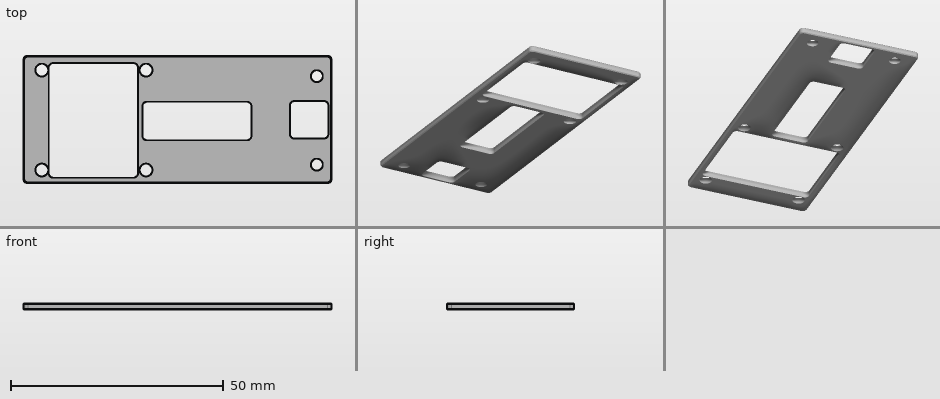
import cadquery as cq

LENGTH = 72.6
WIDTH = 30.0
THICKNESS = 1.5
CORNER_RADIUS = 1.0
EDGE_CHAMFER = 0.2

OPENING_RADIUS = 1.0
WINDOW_SIZE = (21.0, 26.9)
WINDOW_CENTER = (-19.8, -0.2)
SLOT_SIZE = (25.6, 9.0)
SLOT_CENTER = (4.6, -0.35)
SQUARE_SIZE = (9.0, 8.8)
SQUARE_CENTER = (31.0, -0.1)

WINDOW_HOLE_DIAMETER = 3.0
WINDOW_HOLE_SPACING = (24.5, 23.5)
WINDOW_HOLE_CENTER = (-19.7, -0.15)

END_HOLE_DIAMETER = 2.75
END_HOLE_SPACING = 20.8
END_HOLE_CENTER = (32.8, -0.2)


def make_plate():
    """Rounded plate with chamfered outer edges on both faces."""
    plate = cq.Workplane("XY").box(LENGTH, WIDTH, THICKNESS)
    plate = plate.edges("|Z").fillet(CORNER_RADIUS)
    return plate.faces("<Z or >Z").edges().chamfer(EDGE_CHAMFER)


def make_opening(size, center):
    """Through cutter with rounded corners."""
    cutter = cq.Workplane("XY").center(*center).box(*size, THICKNESS)
    return cutter.edges("|Z").fillet(OPENING_RADIUS)


def make_holes(diameter, center, spacing_x, spacing_y, count_x, count_y):
    """Through cutters for a rectangular pattern of round holes."""
    bottom = cq.Workplane("XY").workplane(offset=-THICKNESS / 2)
    pattern = bottom.center(*center).rarray(spacing_x, spacing_y, count_x, count_y)
    return pattern.circle(diameter / 2).extrude(THICKNESS)


result = make_plate()

for opening_size, opening_center in (
    (WINDOW_SIZE, WINDOW_CENTER),
    (SLOT_SIZE, SLOT_CENTER),
    (SQUARE_SIZE, SQUARE_CENTER),
):
    result = result.cut(make_opening(opening_size, opening_center))

result = result.cut(make_holes(WINDOW_HOLE_DIAMETER, WINDOW_HOLE_CENTER, *WINDOW_HOLE_SPACING, 2, 2))
result = result.cut(make_holes(END_HOLE_DIAMETER, END_HOLE_CENTER, END_HOLE_SPACING, END_HOLE_SPACING, 1, 2))